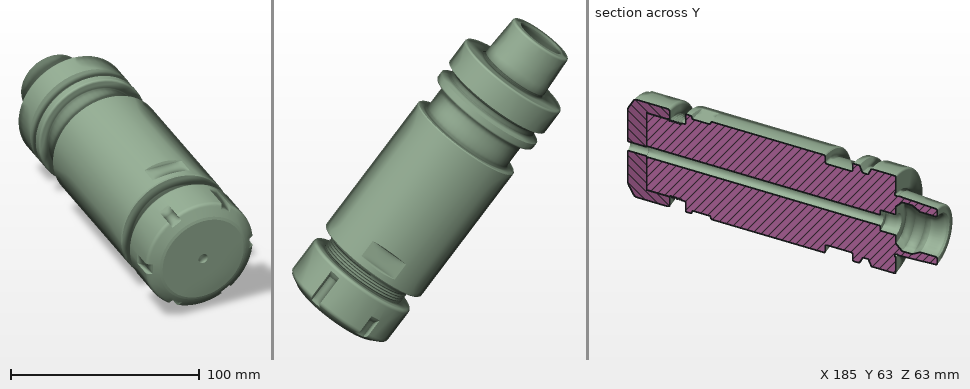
import cadquery as cq
import math


LENGTH = 185.0
OUTER_RADIUS = 63.0 / 2
AXIAL_HOLE_RADIUS = 3.3
NUT_HOLE_RADIUS = 2.8

TAPER_SLOPE = 0.052
TAPER_END_X = 23.3
TAPER_END_RADIUS = 19.2
TAPER_TIP_RADIUS = TAPER_END_RADIUS - TAPER_SLOPE * TAPER_END_X
TIP_FILLET = 1.3
RELIEF_RADIUS = 18.9
RELIEF_SLOPE_LENGTH = 0.5
FACE_RECESS_RADIUS = 20.4
FACE_RECESS_DEPTH = 0.5
RELIEF_FILLET = 0.7

FLANGE_X = 24.8
FLANGE_END_X = 50.9
FLANGE_FILLET = 1.1
GROOVE_FLOOR_RADIUS = 27.4
GROOVE_FLOOR_START_X = 41.5
GROOVE_FLOOR_END_X = 44.5
GROOVE_WALL_ANGLE = 25.0
GROOVE_FILLET = 0.4

NECK_RADIUS = 26.3
NECK_FRONT_FILLET = 0.5
NECK_REAR_FILLET = 1.1
SLEEVE_X = 67.0
SLEEVE_END_X = 150.5
SLEEVE_CHAMFER = 0.5

FLAT_HEIGHT = 29.6
FLAT_START_X = 136.0
FLAT_END_X = 146.2
FLAT_WALL_RUN = 1.0

STEM_RADIUS = 25.0
STEM_FILLET = 0.5
STEM_END_X = 173.9
THREAD_START_X = 153.2
THREAD_PITCH = 1.5
THREAD_TURNS = 5
THREAD_DEPTH = 1.0
THREAD_OPENING = 1.3
CUTTER_OVERLAP = 0.2

BORE_RADIUS = 12.8
BORE_MOUTH_RADIUS = 13.5
BORE_MOUTH_DEPTH = 1.1
BORE_LIP_END_X = 10.4
CHAMBER_RADIUS = 15.5
CHAMBER_ANGLE = 30.0
CHAMBER_END_X = FLANGE_X
CHAMBER_FLOOR_RADIUS = 11.8
COUNTERBORE_RADIUS = 6.5
COUNTERBORE_DEPTH = 9.2

NUT_X = 159.7
NUT_REAR_FILLET = 1.7
NUT_CONE_X = 181.7
NUT_CONE_RADIUS = 30.2
NUT_FRONT_ROUND = 2.2
NUT_CONE_ANGLE = 30.0
NUT_LIP_X = 184.5
NUT_FACE_RADIUS = 23.9
SLOT_COUNT = 6
LONG_SLOT_COUNT = 3
SLOT_WIDTH = 6.1
SLOT_FLOOR_RADIUS = 28.5
SHORT_SLOT_X = 169.6
LONG_SLOT_X = 163.0
SLOT_RAMP_RUN = 3.3


def turned(profile):
    """Revolve an (x, radius) outline about the X axis."""
    return profile.close().revolve(360, (0, 0, 0), (1, 0, 0))


def fillet_ring(body, x, radius, size):
    """Round the circular edge that lies at the given x and radius."""
    tolerance = 0.04
    within_radius = cq.selectors.BoxSelector(
        (x - tolerance, -radius - tolerance, -radius - tolerance),
        (x + tolerance, radius + tolerance, radius + tolerance),
        boundingbox=True,
    )
    smaller_rings = cq.selectors.BoxSelector(
        (x - tolerance, -radius + tolerance, -radius + tolerance),
        (x + tolerance, radius - tolerance, radius - tolerance),
        boundingbox=True,
    )
    return body.edges(within_radius - smaller_rings).fillet(size)


def holder_blank():
    groove_depth = OUTER_RADIUS - GROOVE_FLOOR_RADIUS
    wall_run = groove_depth * math.tan(math.radians(GROOVE_WALL_ANGLE))
    groove_start_x = GROOVE_FLOOR_START_X - wall_run
    groove_end_x = GROOVE_FLOOR_END_X + wall_run
    recess_x = FLANGE_X + FACE_RECESS_DEPTH

    blank = turned(
        cq.Workplane("XZ")
        .moveTo(0, 0)
        .lineTo(0, TAPER_TIP_RADIUS)
        .lineTo(TAPER_END_X, TAPER_END_RADIUS)
        .lineTo(TAPER_END_X + RELIEF_SLOPE_LENGTH, RELIEF_RADIUS)
        .lineTo(recess_x, RELIEF_RADIUS)
        .lineTo(recess_x, FACE_RECESS_RADIUS)
        .lineTo(FLANGE_X, FACE_RECESS_RADIUS)
        .lineTo(FLANGE_X, OUTER_RADIUS)
        .lineTo(groove_start_x, OUTER_RADIUS)
        .lineTo(GROOVE_FLOOR_START_X, GROOVE_FLOOR_RADIUS)
        .lineTo(GROOVE_FLOOR_END_X, GROOVE_FLOOR_RADIUS)
        .lineTo(groove_end_x, OUTER_RADIUS)
        .lineTo(FLANGE_END_X, OUTER_RADIUS)
        .lineTo(FLANGE_END_X, NECK_RADIUS)
        .lineTo(SLEEVE_X, NECK_RADIUS)
        .lineTo(SLEEVE_X, OUTER_RADIUS - SLEEVE_CHAMFER)
        .lineTo(SLEEVE_X + SLEEVE_CHAMFER, OUTER_RADIUS)
        .lineTo(SLEEVE_END_X - SLEEVE_CHAMFER, OUTER_RADIUS)
        .lineTo(SLEEVE_END_X, OUTER_RADIUS - SLEEVE_CHAMFER)
        .lineTo(SLEEVE_END_X, STEM_RADIUS)
        .lineTo(STEM_END_X, STEM_RADIUS)
        .lineTo(STEM_END_X, 0)
    )
    rounded_rings = [
        (0, TAPER_TIP_RADIUS, TIP_FILLET),
        (FLANGE_X + FACE_RECESS_DEPTH, RELIEF_RADIUS, RELIEF_FILLET),
        (FLANGE_X, OUTER_RADIUS, FLANGE_FILLET),
        (GROOVE_FLOOR_START_X, GROOVE_FLOOR_RADIUS, GROOVE_FILLET),
        (GROOVE_FLOOR_END_X, GROOVE_FLOOR_RADIUS, GROOVE_FILLET),
        (FLANGE_END_X, OUTER_RADIUS, FLANGE_FILLET),
        (FLANGE_END_X, NECK_RADIUS, NECK_FRONT_FILLET),
        (SLEEVE_X, NECK_RADIUS, NECK_REAR_FILLET),
        (SLEEVE_END_X, STEM_RADIUS, STEM_FILLET),
    ]
    for x, radius, size in rounded_rings:
        blank = fillet_ring(blank, x, radius, size)
    return blank


def shank_bore():
    """Stepped bore: chamfered mouth, lip, clamping chamber, counterbore and through hole."""
    chamber_run = (CHAMBER_RADIUS - BORE_RADIUS) / math.tan(math.radians(CHAMBER_ANGLE))
    rim_run = CHAMBER_RADIUS - CHAMBER_FLOOR_RADIUS
    counterbore_end_x = CHAMBER_END_X + COUNTERBORE_DEPTH
    return turned(
        cq.Workplane("XZ")
        .moveTo(0, 0)
        .lineTo(0, BORE_MOUTH_RADIUS)
        .lineTo(BORE_MOUTH_DEPTH, BORE_RADIUS)
        .lineTo(BORE_LIP_END_X, BORE_RADIUS)
        .lineTo(BORE_LIP_END_X + chamber_run, CHAMBER_RADIUS)
        .lineTo(CHAMBER_END_X - rim_run, CHAMBER_RADIUS)
        .lineTo(CHAMBER_END_X, CHAMBER_FLOOR_RADIUS)
        .lineTo(CHAMBER_END_X, COUNTERBORE_RADIUS)
        .lineTo(counterbore_end_x, COUNTERBORE_RADIUS)
        .lineTo(counterbore_end_x, AXIAL_HOLE_RADIUS)
        .lineTo(STEM_END_X, AXIAL_HOLE_RADIUS)
        .lineTo(STEM_END_X, 0)
    )


def wrench_flat_cutter():
    """Trapezoid across the top of the sleeve, with leaning end walls."""
    top = OUTER_RADIUS
    return (
        cq.Workplane("XZ")
        .moveTo(FLAT_START_X, FLAT_HEIGHT)
        .lineTo(FLAT_END_X, FLAT_HEIGHT)
        .lineTo(FLAT_END_X + FLAT_WALL_RUN, top)
        .lineTo(FLAT_START_X - FLAT_WALL_RUN, top)
        .close()
        .extrude(OUTER_RADIUS, both=True)
    )


def thread_cutter():
    """Right-handed V groove wound about X, running from the sleeve side into the nut."""
    root_radius = STEM_RADIUS - THREAD_DEPTH
    top_radius = STEM_RADIUS + CUTTER_OVERLAP
    half_top = THREAD_OPENING / 2 * (THREAD_DEPTH + CUTTER_OVERLAP) / THREAD_DEPTH
    helix = cq.Wire.makeHelix(THREAD_PITCH, THREAD_PITCH * THREAD_TURNS, STEM_RADIUS)
    groove = (
        cq.Workplane("XZ")
        .moveTo(root_radius, 0)
        .lineTo(top_radius, half_top)
        .lineTo(top_radius, -half_top)
        .close()
        .sweep(cq.Workplane(helix), isFrenet=True)
    )
    return groove.rotate((0, 0, 0), (0, 1, 0), 90).translate((THREAD_START_X, 0, 0))


def make_holder():
    holder = holder_blank().cut(shank_bore())
    flat_cutter = wrench_flat_cutter()
    for angle in (0, 180):
        holder = holder.cut(flat_cutter.rotate((0, 0, 0), (1, 0, 0), angle))
    return holder.cut(thread_cutter())


def nut_blank():
    """Closed cap with a stepped hole: wide over the stem, narrow through the end wall."""
    lip_drop = (NUT_LIP_X - NUT_CONE_X) / math.tan(math.radians(NUT_CONE_ANGLE))
    blank = turned(
        cq.Workplane("XZ")
        .moveTo(NUT_X, STEM_RADIUS)
        .lineTo(NUT_X, OUTER_RADIUS)
        .lineTo(NUT_CONE_X - NUT_FRONT_ROUND, OUTER_RADIUS)
        .tangentArcPoint((NUT_CONE_X, NUT_CONE_RADIUS), relative=False)
        .lineTo(NUT_LIP_X, NUT_CONE_RADIUS - lip_drop)
        .lineTo(LENGTH, NUT_FACE_RADIUS)
        .lineTo(LENGTH, NUT_HOLE_RADIUS)
        .lineTo(STEM_END_X, NUT_HOLE_RADIUS)
        .lineTo(STEM_END_X, STEM_RADIUS)
    )
    return fillet_ring(blank, NUT_X, OUTER_RADIUS, NUT_REAR_FILLET)


def slot_cutter(start_x):
    """Wrench slot on the -Y side, open at the front and ramped at the rear."""
    return (
        cq.Workplane("XY")
        .moveTo(start_x, -OUTER_RADIUS)
        .lineTo(start_x + SLOT_RAMP_RUN, -SLOT_FLOOR_RADIUS)
        .lineTo(LENGTH, -SLOT_FLOOR_RADIUS)
        .lineTo(LENGTH, -OUTER_RADIUS)
        .close()
        .extrude(SLOT_WIDTH / 2, both=True)
    )


def make_nut():
    nut = nut_blank()
    slot_step = 360 / SLOT_COUNT
    for index in range(SLOT_COUNT):
        is_long = index >= SLOT_COUNT - LONG_SLOT_COUNT
        cutter = slot_cutter(LONG_SLOT_X if is_long else SHORT_SLOT_X)
        nut = nut.cut(cutter.rotate((0, 0, 0), (1, 0, 0), slot_step * (1 - index)))
    return nut


holder = make_holder()
nut = make_nut()

result = cq.Compound.makeCompound([*holder.solids().vals(), *nut.solids().vals()])